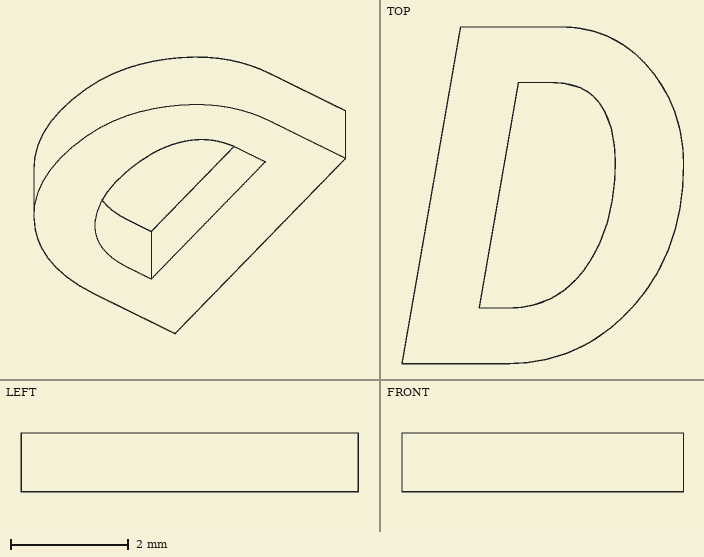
import cadquery as cq

height = 5.72
width = 4.78
thickness = 1.0

slant = 0.995
stem_width = 1.15
bar_height = 0.95

outer_right_y = 3.375
outer_bottom_end = 1.775
outer_top_end = 2.69
inner_right = 3.62
inner_right_y = 3.43
inner_bottom_end = 1.83
inner_top_end = 2.575

outer_lower_joint = (3.74, 0.785)
outer_lower_slope = 0.96
outer_upper_joint = (4.135, 5.09)
outer_upper_slope = -1.09
inner_lower_joint = (3.09, 1.59)
inner_lower_slope = 1.33
inner_upper_joint = (3.345, 4.435)
inner_upper_slope = -1.33


def stem_x(y, offset=0.0):
    """X of the slanted stem edge at height y."""
    return offset + slant * y / height


def bowl_controls(joint, slope, bar_y, right_x):
    """Control points where the joint tangent meets the bar and the right side."""
    x, y = joint
    on_bar = (x + (bar_y - y) / slope, bar_y)
    on_right = (right_x, y + (right_x - x) * slope)
    return on_bar, on_right


def d_outline(left_offset, bottom, top, bottom_end, top_end, right, lower, upper):
    """Closed D: slanted left edge, two bars and a bowl of four tangent curves.

    right is the bowl's rightmost point; lower and upper are (joint, slope) pairs.
    """
    lower_joint, lower_slope = lower
    upper_joint, upper_slope = upper
    low_bar, low_right = bowl_controls(lower_joint, lower_slope, bottom, right[0])
    high_bar, high_right = bowl_controls(upper_joint, upper_slope, top, right[0])
    return (
        cq.Workplane("XY")
        .moveTo(stem_x(bottom, left_offset), bottom)
        .lineTo(bottom_end, bottom)
        .bezier([low_bar, lower_joint], includeCurrent=True)
        .bezier([low_right, right], includeCurrent=True)
        .bezier([high_right, upper_joint], includeCurrent=True)
        .bezier([high_bar, (top_end, top)], includeCurrent=True)
        .lineTo(stem_x(top, left_offset), top)
        .close()
    )


body = d_outline(
    0.0, 0.0, height, outer_bottom_end, outer_top_end, (width, outer_right_y),
    (outer_lower_joint, outer_lower_slope),
    (outer_upper_joint, outer_upper_slope),
).extrude(thickness)

opening = d_outline(
    stem_width, bar_height, height - bar_height,
    inner_bottom_end, inner_top_end, (inner_right, inner_right_y),
    (inner_lower_joint, inner_lower_slope),
    (inner_upper_joint, inner_upper_slope),
).extrude(thickness)

result = body.cut(opening)